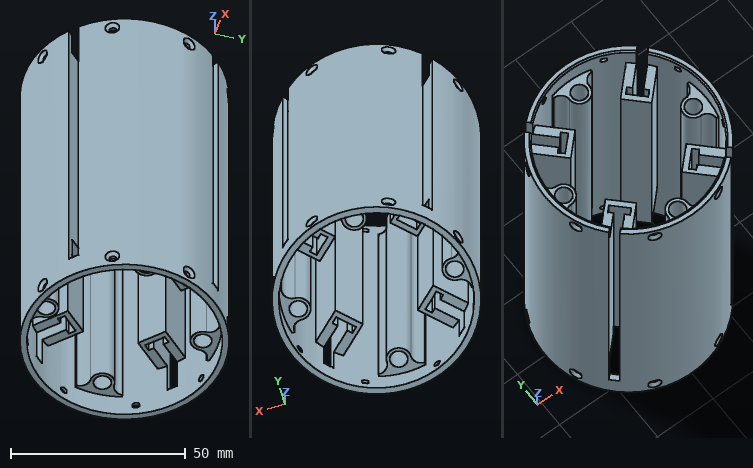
import cadquery as cq
import math

height = 105.0
outer_diameter = 60.0
bore_diameter = 56.0
rim_chamfer = 0.5
outer_radius = outer_diameter / 2
bore_radius = bore_diameter / 2
middle_radius = (outer_radius + bore_radius) / 2

cut_margin = 1.0

end_band = 7.5
inside_top = height - end_band

rail_angles = (45, 135, 225, 315)
rail_width = 9.0
rail_inner_reach = 16.1
rail_bottom = 17.5
slot_width = 3.2
pocket_width = 6.5
pocket_inner_reach = 17.8
pocket_outer_reach = 20.1

boss_angles = (0, 90, 180, 270)
boss_reach = 23.3
boss_radius = 3.6
boss_flank_radius = 3.0
boss_base_width = 13.9
boss_hole_diameter = 5.1

screw_offset_angle = 22.5
screw_diameter = 2.1
screw_head_diameter = 4.2
screw_head_depth = 1.0


def radial_block(inner_reach, outer_reach, width, bottom, top):
    """Block along +X from one distance from the axis to another, centred on Y."""
    return (
        cq.Workplane("XY", origin=(0, 0, bottom))
        .center((inner_reach + outer_reach) / 2, 0)
        .rect(outer_reach - inner_reach, width)
        .extrude(top - bottom)
    )


def turned(shape, angle):
    return shape.rotate((0, 0, 0), (0, 0, 1), angle)


def make_tube():
    return (
        cq.Workplane("XY")
        .circle(outer_radius)
        .circle(bore_radius)
        .extrude(height)
        .faces(">Z")
        .edges("%CIRCLE")
        .edges(cq.selectors.RadiusNthSelector(0))
        .chamfer(rim_chamfer)
    )


def make_rail():
    """Solid rail, ending inside the tube wall."""
    return radial_block(rail_inner_reach, middle_radius, rail_width, rail_bottom, inside_top)


def make_rail_slot():
    """T-shaped channel: a narrow slot through the wall and a wider pocket behind it."""
    slot = radial_block(pocket_inner_reach, outer_radius + cut_margin, slot_width, end_band, height)
    pocket = radial_block(pocket_inner_reach, pocket_outer_reach, pocket_width, end_band, inside_top)
    return slot.union(pocket)


def make_boss():
    """Round boss that widens through two concave flanks to a straight-sided base on the wall."""
    half_base = boss_base_width / 2
    wall_end = math.sqrt(middle_radius**2 - half_base**2)
    flank_end = boss_reach + boss_flank_radius
    flank_side = boss_radius + boss_flank_radius
    flank_diagonal = boss_flank_radius * math.sqrt(0.5)
    flank_middle = (boss_reach + flank_diagonal, flank_side - flank_diagonal)
    return (
        cq.Workplane("XY", origin=(0, 0, end_band))
        .moveTo(wall_end, -half_base)
        .lineTo(flank_end, -half_base)
        .lineTo(flank_end, -flank_side)
        .threePointArc((flank_middle[0], -flank_middle[1]), (boss_reach, -boss_radius))
        .threePointArc((boss_reach - boss_radius, 0), (boss_reach, boss_radius))
        .threePointArc(flank_middle, (flank_end, flank_side))
        .lineTo(flank_end, half_base)
        .lineTo(wall_end, half_base)
        .threePointArc((middle_radius, 0), (wall_end, -half_base))
        .close()
        .extrude(inside_top - end_band)
    )


def make_boss_hole():
    return (
        cq.Workplane("XY")
        .center(boss_reach, 0)
        .circle(boss_hole_diameter / 2)
        .extrude(height)
    )


def make_screw_hole(level):
    """Radial hole along +X, with a cone that opens to the head diameter at the outer wall."""
    inner_end = bore_radius - cut_margin
    outer_end = outer_radius + cut_margin
    cone_start = outer_radius - screw_head_depth
    screw_radius = screw_diameter / 2
    head_radius = screw_head_diameter / 2
    return (
        cq.Workplane("XZ")
        .moveTo(inner_end, level)
        .lineTo(inner_end, level + screw_radius)
        .lineTo(cone_start, level + screw_radius)
        .lineTo(outer_radius, level + head_radius)
        .lineTo(outer_end, level + head_radius)
        .lineTo(outer_end, level)
        .close()
        .revolve(360, (inner_end, level, 0), (outer_end, level, 0))
    )


result = make_tube()

for angle in rail_angles:
    result = result.union(turned(make_rail(), angle))
    result = result.cut(turned(make_rail_slot(), angle))

for angle in boss_angles:
    result = result.union(turned(make_boss(), angle))
    result = result.cut(turned(make_boss_hole(), angle))

for level in (end_band / 2, height - end_band / 2):
    for angle in boss_angles:
        for side in (-1, 1):
            result = result.cut(turned(make_screw_hole(level), angle + side * screw_offset_angle))